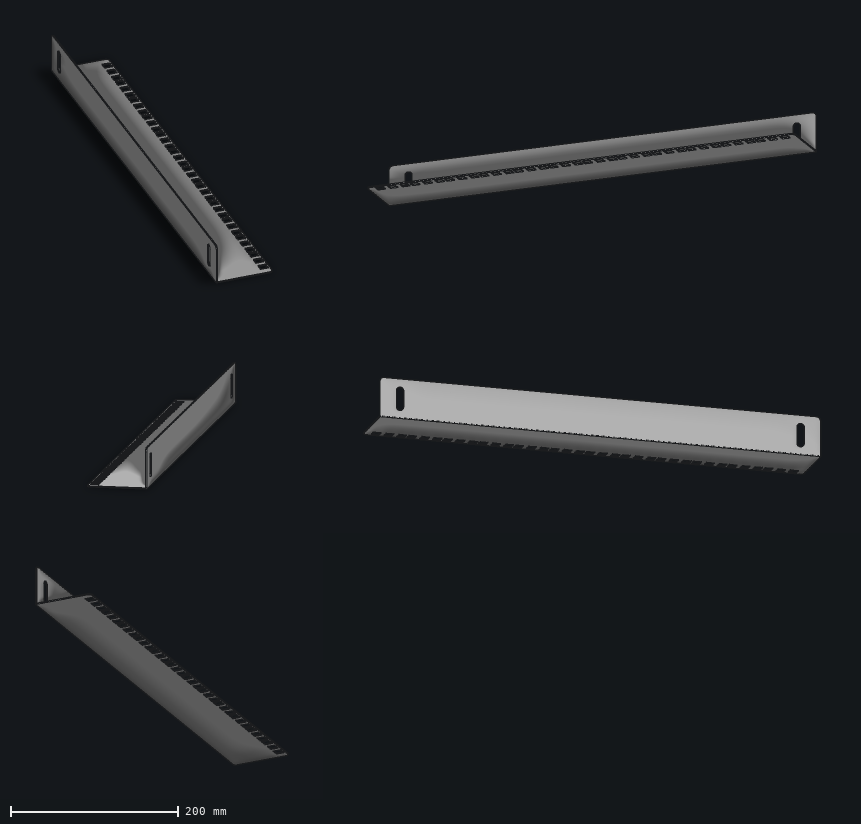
import cadquery as cq

LENGTH = 550.0
FLANGE_DEPTH = 73.0
WALL_HEIGHT = 50.0
THICKNESS = 1.5
CORNER_RADIUS = 5.0

RACK_UNIT = 44.45
HOLE_SPACING = 15.875
HOLES_PER_UNIT = 3
UNIT_COUNT = 12
HOLE_SIZE = 9.5
HOLE_EDGE_DISTANCE = 7.25

SLOT_LENGTH = 29.0
SLOT_WIDTH = 9.0
SLOT_SPACING = 500.0
SLOT_CENTER_HEIGHT = WALL_HEIGHT / 2


def make_flange():
    """Horizontal plate with its two far corners rounded."""
    plate = cq.Workplane("XY").box(LENGTH, FLANGE_DEPTH, THICKNESS, centered=(True, False, False))
    return plate.edges("|Z and >Y").fillet(CORNER_RADIUS)


def make_wall():
    """Vertical plate along the front with its two top corners rounded."""
    plate = cq.Workplane("XY").box(LENGTH, THICKNESS, WALL_HEIGHT, centered=(True, False, False))
    return plate.edges("|Y and >Z").fillet(CORNER_RADIUS)


def square_hole_centers():
    """Hole centres in rack unit groups, with the whole row centred along X."""
    row_length = (UNIT_COUNT - 1) * RACK_UNIT + (HOLES_PER_UNIT - 1) * HOLE_SPACING
    first_x = -row_length / 2
    y = FLANGE_DEPTH - HOLE_EDGE_DISTANCE
    return [
        (first_x + unit * RACK_UNIT + hole * HOLE_SPACING, y)
        for unit in range(UNIT_COUNT)
        for hole in range(HOLES_PER_UNIT)
    ]


def make_square_holes():
    """Square cutters through the flange thickness."""
    return (
        cq.Workplane("XY")
        .pushPoints(square_hole_centers())
        .rect(HOLE_SIZE, HOLE_SIZE)
        .extrude(THICKNESS)
    )


def make_slots():
    """Round-ended vertical cutters through the wall thickness, one near each end."""
    slot_x = SLOT_SPACING / 2
    return (
        cq.Workplane("XZ")
        .pushPoints([(-slot_x, SLOT_CENTER_HEIGHT), (slot_x, SLOT_CENTER_HEIGHT)])
        .slot2D(SLOT_LENGTH, SLOT_WIDTH, 90)
        .extrude(-THICKNESS)
    )


angle = make_flange().union(make_wall())
result = angle.cut(make_square_holes()).cut(make_slots())